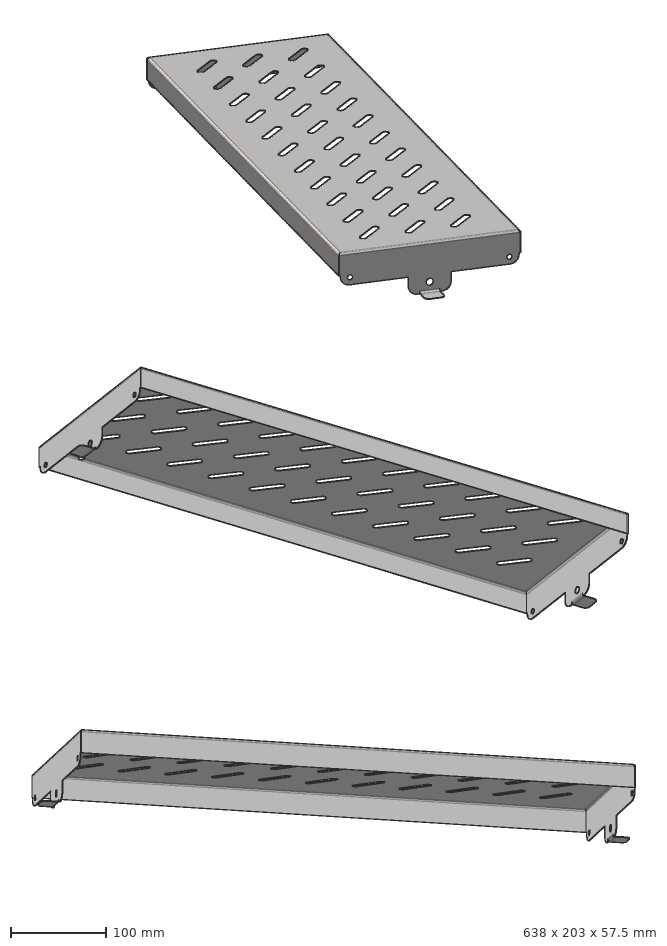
import cadquery as cq
import math

overall_length = 638.0
deck_flat_length = 596.0
tray_width = 203.0
overall_height = 57.5
sheet = 1.0
bend_radius = 2.8
tray_length = deck_flat_length + 2 * bend_radius

side_wall_height = 25.5
end_wall_height = 37.0
end_corner_radius = 10.0
end_wall_inset = 2.0
corner_hole_diameter = 5.55
corner_hole_inset = 13.0
corner_hole_height = 29.0

tab_width = 48.0
tab_corner_radius = 10.0
tab_hole_diameter = 7.5
tab_hole_height = 12.0
foot_width = 22.5
foot_corner_radius = 5.0
foot_bend_radius = 3.0

slot_columns = 11
slot_rows = 3
slot_pitch = 50.8
slot_length = 38.0
slot_width = 7.5
slot_angle = -45

half_length = tray_length / 2
half_width = tray_width / 2
end_wall_bottom = overall_height - end_wall_height
foot_reach = (overall_length - tray_length) / 2


def folded_deck():
    """Deck with four walls, open below and rounded along the top folds."""
    outer = (
        cq.Workplane("XY", origin=(0, 0, end_wall_bottom))
        .box(tray_length, tray_width, end_wall_height, centered=(True, True, False))
        .faces(">Z")
        .edges()
        .fillet(bend_radius)
    )
    inner = (
        cq.Workplane("XY", origin=(0, 0, end_wall_bottom))
        .box(
            tray_length - 2 * sheet,
            tray_width - 2 * sheet,
            end_wall_height - sheet,
            centered=(True, True, False),
        )
        .faces(">Z")
        .edges()
        .fillet(bend_radius - sheet)
    )
    below_side_walls = cq.Workplane("XY", origin=(0, 0, end_wall_bottom)).box(
        tray_length - 2 * sheet,
        tray_width,
        end_wall_height - side_wall_height,
        centered=(True, True, False),
    )
    return outer.cut(inner).cut(below_side_walls)


def end_outline_blank():
    """Block that trims the end walls: inset below the side walls, with rounded lower corners."""
    lower = (
        cq.Workplane("XY", origin=(0, 0, end_wall_bottom))
        .box(tray_length, tray_width - 2 * end_wall_inset, end_wall_height, centered=(True, True, False))
        .faces("<Z")
        .edges("|X")
        .fillet(end_corner_radius)
    )
    upper = cq.Workplane("XY", origin=(0, 0, overall_height - side_wall_height)).box(
        tray_length, tray_width, side_wall_height, centered=(True, True, False)
    )
    return lower.union(upper)


def tab():
    """Tab hanging below the +X end wall, notched beside the foot bend."""
    plate = (
        cq.Workplane("XY", origin=(half_length - sheet, 0, 0))
        .box(sheet, tab_width, end_wall_bottom, centered=(False, True, False))
        .faces("<Z")
        .edges("|X")
        .fillet(tab_corner_radius)
    )
    bend_space = cq.Workplane("XY", origin=(half_length - sheet, 0, 0)).box(
        sheet, foot_width, foot_bend_radius, centered=(False, True, False)
    )
    return plate.cut(bend_space)


def foot():
    """Foot bent outward from the lower edge of the +X tab."""
    inner_face = half_length - sheet
    inner_radius = foot_bend_radius - sheet
    diagonal = math.sqrt(0.5)
    bend_x = inner_face + foot_bend_radius
    strip = (
        cq.Workplane("XZ", origin=(0, foot_width / 2, 0))
        .moveTo(inner_face, foot_bend_radius)
        .threePointArc(
            (bend_x - foot_bend_radius * diagonal, foot_bend_radius * (1 - diagonal)),
            (bend_x, 0),
        )
        .lineTo(half_length + foot_reach, 0)
        .lineTo(half_length + foot_reach, sheet)
        .lineTo(bend_x, sheet)
        .threePointArc(
            (bend_x - inner_radius * diagonal, foot_bend_radius - inner_radius * diagonal),
            (half_length, foot_bend_radius),
        )
        .close()
        .extrude(foot_width)
    )
    return strip.faces(">X").edges("|Z").fillet(foot_corner_radius)


def end_wall_holes():
    """Drills along X through both end walls and both tabs."""
    hole_y = half_width - corner_hole_inset
    ends = cq.Workplane("YZ", origin=(-half_length, 0, 0))
    corner_drills = (
        ends.pushPoints([(-hole_y, corner_hole_height), (hole_y, corner_hole_height)])
        .circle(corner_hole_diameter / 2)
        .extrude(tray_length)
    )
    tab_drill = (
        ends.center(0, tab_hole_height)
        .circle(tab_hole_diameter / 2)
        .extrude(tray_length)
    )
    return corner_drills.union(tab_drill)


def deck_slots():
    """Grid of diagonal slots through the deck."""
    return (
        cq.Workplane("XY", origin=(0, 0, overall_height - sheet))
        .rarray(slot_pitch, slot_pitch, slot_columns, slot_rows)
        .slot2D(slot_length, slot_width, slot_angle)
        .extrude(sheet)
    )


tray = folded_deck().intersect(end_outline_blank())
hanger = tab().union(foot())
result = (
    tray.union(hanger)
    .union(hanger.mirror("YZ"))
    .cut(end_wall_holes())
    .cut(deck_slots())
)